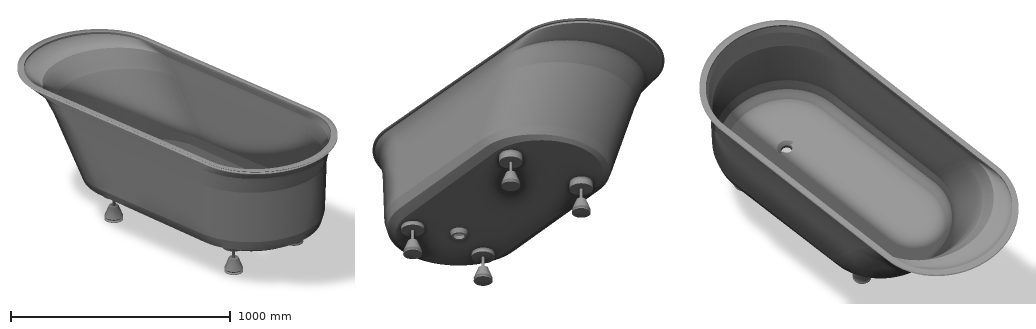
import cadquery as cq
import math

length = 1720.0
width = 720.0
height = 605.0
rim_thickness = 10.0
rim_end_depth = 332.0
rim_groove = 7.0
rim_inset_end = 33.0
rim_inset_side = 25.0
rim_bottom = height - rim_thickness

wall = 10.0
floor_level = 157.0
floor_fall = 1.2

drain_x = 455.0
drain_radius = 25.0
drain_seat_radius = 45.0
drain_boss_radius = 35.0
drain_boss_top_radius = 43.0
underside = 125.0

foot_center_x = 165.0
foot_spacing_x = 752.0
foot_spacing_y = 399.0
pad_radius = 53.0
pad_top = 206.0
stem_radius = 7.0
foot_height = 69.0
foot_top_radius = 22.0
foot_radius = 43.0
foot_groove_radius = 38.0
foot_groove_level = 9.0
foot_edge = 3.0
foot_cone_level = 15.0

BASIN_SECTIONS = [
    (floor_level, floor_fall, -452.0, -190.0, 488.0, 740.0, 277.0),
    (175.0, 0.8, -470.0, -177.0, 471.0, 781.0, 322.0),
    (217.0, 0, -490.0, -165.0, 465.0, 796.0, 337.0),
    (475.0, 0, -654.0, -327.0, 465.0, 805.0, 345.0),
    (555.0, 0, -724.0, -395.0, 485.0, 829.0, 350.0),
    (587.0, 0, -848.0, -528.0, 528.0, 848.0, 351.0),
    (rim_bottom, 0, -851.0, -528.0, 528.0, 851.0, 351.0),
]


def section(level, tilt, left_tip, left_start, right_end, right_tip, half_width):
    """Closed outline with straight sides and a half ellipse at each end."""
    def end(center, depth, start_angle):
        return cq.Edge.makeEllipse(
            half_width, depth, cq.Vector(center, 0, 0), cq.Vector(0, 0, 1),
            cq.Vector(0, 1, 0), start_angle, start_angle + 180.0, 1)

    right = end(right_end, right_tip - right_end, 180)
    left = end(left_start, left_start - left_tip, 0)
    near = cq.Edge.makeLine(
        cq.Vector(left_start, -half_width, 0), cq.Vector(right_end, -half_width, 0))
    far = cq.Edge.makeLine(
        cq.Vector(right_end, half_width, 0), cq.Vector(left_start, half_width, 0))
    wire = cq.Wire.assembleEdges([near, right, far, left])
    origin = cq.Vector(0, 0, 0)
    tilted = wire.rotate(origin, cq.Vector(0, 1, 0), tilt)
    return tilted.translate(cq.Vector(0, 0, level))


def rim_section(level, inset_end, inset_side):
    straight = length / 2 - rim_end_depth
    tip = length / 2 - inset_end
    return section(level, 0, -tip, -straight, straight, tip, width / 2 - inset_side)


def loft(wires):
    return cq.Workplane(cq.Solid.makeLoft(wires, True))


def make_rim():
    """Flat ring on top of the tub with a V groove around its edge."""
    outer = loft([
        rim_section(rim_bottom, 0, 0),
        rim_section(height - rim_thickness / 2, rim_groove, rim_groove),
        rim_section(height, 0, 0),
    ])
    opening = loft([
        rim_section(rim_bottom, rim_inset_end, rim_inset_side),
        rim_section(height, rim_inset_end, rim_inset_side),
    ])
    return outer.cut(opening)


def make_cavity():
    """Inside of the basin, following the outside one wall thickness in."""
    wires = []
    for level, tilt, left_tip, left_start, right_end, right_tip, half_width in BASIN_SECTIONS[:-2]:
        wires.append(section(level + wall, tilt, left_tip + wall, left_start,
                             right_end, right_tip - wall, half_width - wall))
    wires.append(rim_section(rim_bottom, rim_inset_end, rim_inset_side))
    return loft(wires)


def make_foot():
    """Pad, stem and flared foot, turned about the Z axis."""
    return (
        cq.Workplane("XZ")
        .polyline([
            (0, 0),
            (foot_radius, 0),
            (foot_radius, foot_edge),
            (foot_groove_radius, foot_groove_level),
            (foot_radius, foot_cone_level),
            (foot_top_radius, foot_height),
            (stem_radius, foot_height),
            (stem_radius, underside),
            (pad_radius, underside),
            (pad_radius, pad_top),
            (0, pad_top),
        ])
        .close()
        .revolve(360, (0, 0, 0), (0, 1, 0))
    )


def cone(bottom_radius, top_radius, bottom, top):
    return cq.Workplane(cq.Solid.makeCone(
        bottom_radius, top_radius, top - bottom, cq.Vector(drain_x, 0, bottom)))


def make_tub():
    """Basin with its feet and drain."""
    tub = loft([section(*sizes) for sizes in BASIN_SECTIONS])
    for side_x in (-1, 1):
        for side_y in (-1, 1):
            x = foot_center_x + side_x * foot_spacing_x / 2
            y = side_y * foot_spacing_y / 2
            tub = tub.union(make_foot().translate((x, y, 0)))

    drain_floor = floor_level - drain_x * math.tan(math.radians(floor_fall))
    tub = tub.union(cone(drain_boss_radius, drain_boss_top_radius, underside, drain_floor + wall / 2))

    tub = tub.cut(make_cavity())
    seat_bottom = drain_floor - wall / 2
    tub = tub.cut(cone(drain_radius, drain_seat_radius, seat_bottom, drain_floor + wall))
    outlet = cq.Workplane("XY").center(drain_x, 0).circle(drain_radius).extrude(height)
    tub = tub.cut(outlet)
    return tub


tub = make_tub()
rim = make_rim()
result = cq.Compound.makeCompound([tub.val(), rim.val()])